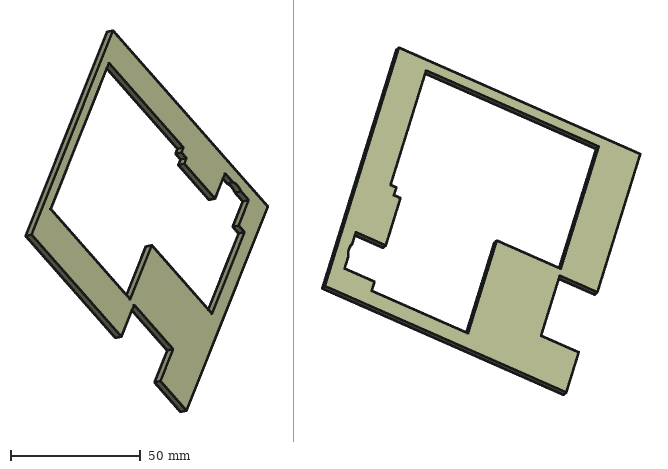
import cadquery as cq
import math

plate_length = 106.7
plate_width = 104.5
plate_thickness = 3.0
slope_angle = 54.06

window_top = 4.3
small_step = 55.5
window_step = 58.9
side_slot_top = 80.2
side_slot_bottom = 96.3
window_bottom = 100.4
edge_notch_top = 61.9
edge_notch_bottom = 88.7

window_near = 16.7
window_far = 91.4
small_step_far = 88.9
lower_window_near = 44.4
lower_window_far = 86.1
side_slot_far = 99.1
edge_notch_depth = 16.3

relief_width = 5.5
relief_depth = 0.6
relief_center = (side_slot_top + side_slot_bottom) / 2


def build_plate():
    """Flat plate with its lower face on the XY plane."""
    return cq.Workplane("XY").box(plate_length, plate_width, plate_thickness, centered=False)


def build_window():
    """Stepped window with the side slot and its relief."""
    return (
        cq.Workplane("XY")
        .moveTo(window_top, window_near)
        .lineTo(window_step, window_near)
        .lineTo(window_step, lower_window_near)
        .lineTo(window_bottom, lower_window_near)
        .lineTo(window_bottom, lower_window_far)
        .lineTo(side_slot_bottom, lower_window_far)
        .lineTo(side_slot_bottom, side_slot_far)
        .lineTo(relief_center + relief_width / 2, side_slot_far)
        .threePointArc(
            (relief_center, side_slot_far + relief_depth),
            (relief_center - relief_width / 2, side_slot_far),
        )
        .lineTo(side_slot_top, side_slot_far)
        .lineTo(side_slot_top, lower_window_far)
        .lineTo(window_step, lower_window_far)
        .lineTo(window_step, small_step_far)
        .lineTo(small_step, small_step_far)
        .lineTo(small_step, window_far)
        .lineTo(window_top, window_far)
        .close()
        .extrude(plate_thickness)
    )


def build_edge_notch():
    """Rectangular notch open to the -Y edge."""
    return (
        cq.Workplane("XY")
        .box(edge_notch_bottom - edge_notch_top, edge_notch_depth, plate_thickness, centered=False)
        .translate((edge_notch_top, 0, 0))
    )


flat_plate = build_plate().cut(build_window()).cut(build_edge_notch())

rise = plate_length * math.sin(math.radians(slope_angle))
result = flat_plate.rotate((0, 0, 0), (0, 1, 0), slope_angle).translate((0, 0, rise))